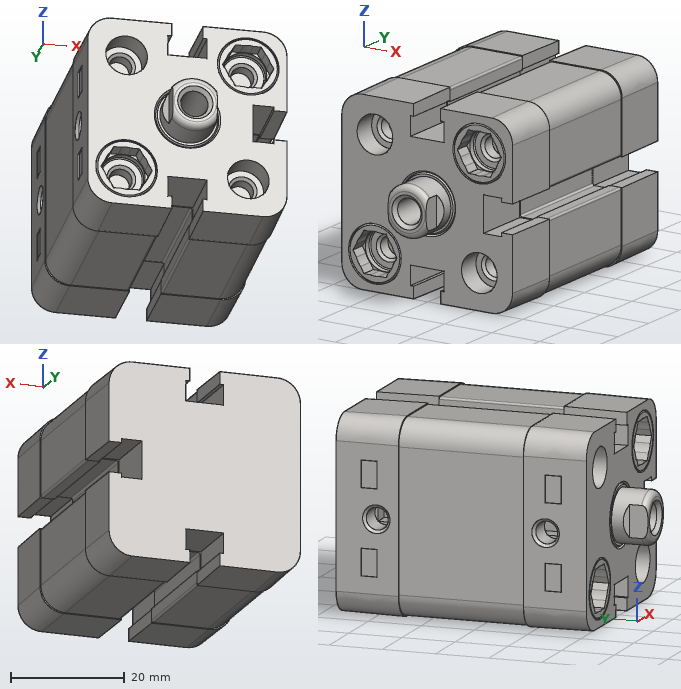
import cadquery as cq
import math


body_length = 47.1
cap_length = 11.8
barrel_length = body_length - 2 * cap_length
rod_projection = 6.5

cap_width = 36.3
cap_end_width = 36.0
barrel_width = 35.94
cap_corner_radius = 4.5
barrel_corner_radius = 4.55
cap_draft = math.degrees(math.atan((cap_width - cap_end_width) / 2 / cap_length))

slot_mouth = 5.66
slot_lip = 2.5
cap_slot_width = 7.1
cap_slot_floor = 11.85
barrel_slot_width = 6.75
barrel_slot_floor = 12.0
barrel_slot_corner_radius = 0.4
barrel_slot_edge_radius = 0.4
slot_overcut = 1.0
slot_angles = (0, 90, 270)

thread_core = 4.13
thread_mouth = 5.2
entry_clearance = 0.2
corner_thread_depth = 3.0

corner_offset = 11.0
plain_hole = 7.5
plain_hole_depth = 4.7
head_diameter = 11.1
head_face_diameter = 10.48
head_groove_depth = 0.45
hex_across_flats = 8.0
hex_depth = 3.05
hex_relief_diameter = 8.2
socket_diameter = 8.0
socket_floor_diameter = 7.55
socket_depth = 4.45

port_from_end = 7.6
port_depth = 5.0
channel_height = 3.1
channel_floor_radius = 10.0
front_channel_length = 7.3
rear_channel_length = 5.7

tag_from_end = 6.25
tag_length = 3.0
tag_height = 5.0
tag_offset = 8.0
tag_depth = 0.2

rod_diameter = 10.0
rod_tip_radius = 1.2
flat_width = 8.0
flat_length = 3.45
flat_runout = 0.85
rod_thread_core = 4.92
rod_thread_mouth = 6.37
rod_thread_depth = 12.0

rod_groove_outer = 12.0
rod_groove_bottom = 11.4
rod_groove_inner = 10.9


def cylinder_y(x, y, z, diameter, depth):
    """Cylinder running from (x, y, z) toward +Y."""
    return cq.Workplane("XZ", origin=(x, y, z)).circle(diameter / 2).extrude(-depth)


def revolve_y(points):
    """Solid of revolution about Y from (radius, y) points."""
    return cq.Workplane("XY").polyline(points).close().revolve(360, (0, 0, 0), (0, 1, 0))


def tapped_hole(core, mouth, depth):
    """Cutter for a countersunk tapped hole that enters at Y = 0 and runs toward +Y.

    The mouth reaches a little outside the entry so that it also clears a drafted face.
    """
    countersink = (mouth - core) / 2
    return revolve_y(
        [
            (0, -entry_clearance),
            (mouth / 2, -entry_clearance),
            (mouth / 2, 0),
            (core / 2, countersink),
            (core / 2, depth),
            (0, depth),
        ]
    )


def block(x, y, size_x, size_y, size_z):
    """Box from (x, y) toward +X and +Y, centred on Z = 0."""
    box = cq.Workplane("XY").box(size_x, size_y, size_z, centered=(False, False, True))
    return box.translate((x, y, 0))


def slot_bar(x_start, x_end, height, y_start, length):
    return block(x_start, y_start, x_end - x_start, length, height)


def slot_cutter(block_width, width, floor, y_start, length, corner_radius=0):
    """Cutter for one T-slot on the +X side."""
    outside = block_width / 2
    wide = slot_bar(floor, outside - slot_lip, width, y_start, length)
    if corner_radius:
        wide = wide.edges("|Y and <X").fillet(corner_radius)
    return wide.union(slot_bar(floor, outside + slot_overcut, slot_mouth, y_start, length))


def cut_slots(body, cutter):
    """Cut the slot on the +X side and its turned copies on the bottom and the top."""
    for angle in slot_angles:
        body = body.cut(cutter.rotate((0, 0, 0), (0, 1, 0), angle))
    return body




def side_face_x(y):
    """X of the drafted -X face of a cap at a given Y, measured from its barrel side."""
    return -cap_width / 2 - y * math.tan(math.radians(cap_draft))


def make_cap(channel_length):
    """Cap with its barrel side at Y = 0 and its drafted outer end at Y = -cap_length."""
    cap = (
        cq.Workplane("XZ")
        .sketch()
        .rect(cap_width, cap_width)
        .vertices()
        .fillet(cap_corner_radius)
        .finalize()
        .extrude(cap_length, taper=cap_draft)
    )
    slot = slot_cutter(cap_width, cap_slot_width, cap_slot_floor, -cap_length, cap_length)
    cap = cut_slots(cap, slot)

    port_y = port_from_end - cap_length
    port_face = side_face_x(port_y)
    port = tapped_hole(thread_core, thread_mouth, port_depth).rotate((0, 0, 0), (0, 0, 1), -90)
    cap = cap.cut(port.translate((port_face, port_y, 0)))

    channel_start = port_face + port_depth
    channel = block(channel_start, -channel_length, -channel_start, channel_length, channel_height)
    channel = channel.cut(cylinder_y(0, -cap_length, 0, 2 * channel_floor_radius, cap_length))
    cap = cap.cut(channel)

    tag_y = tag_from_end - cap_length
    for z in (-tag_offset, tag_offset):
        tag = cq.Workplane("XY").box(2 * tag_depth, tag_length, tag_height)
        cap = cap.cut(tag.translate((side_face_x(tag_y), tag_y, z)))
    return cap


def screw_socket():
    """Cutter for a flush screw head at Y = 0: edge groove, hexagon socket and tapped hole."""
    groove = revolve_y(
        [
            (head_face_diameter / 2, 0),
            (head_diameter / 2, 0),
            (head_diameter / 2, head_groove_depth),
        ]
    )
    hex_across_corners = hex_across_flats / math.cos(math.pi / 6)
    hexagon = cq.Workplane("XZ").polygon(6, hex_across_corners).extrude(-hex_depth)
    relief = cylinder_y(0, 0, 0, hex_relief_diameter, hex_depth)
    bore = cylinder_y(0, 0, 0, socket_diameter, socket_depth)
    bore = bore.faces(">Y").chamfer((socket_diameter - socket_floor_diameter) / 2)
    thread = tapped_hole(thread_core, thread_mouth, corner_thread_depth).translate((0, socket_depth, 0))
    return groove.union(hexagon.union(relief).union(bore).union(thread))


def plain_corner_hole():
    """Cutter for a plain hole at Y = 0 with a tapped hole in its floor."""
    thread = tapped_hole(thread_core, thread_mouth, corner_thread_depth).translate((0, plain_hole_depth, 0))
    return cylinder_y(0, 0, 0, plain_hole, plain_hole_depth).union(thread)


def make_front_cap():
    cap = make_cap(front_channel_length).translate((0, cap_length, 0))
    for side in (-1, 1):
        cap = cap.cut(screw_socket().translate((side * corner_offset, 0, side * corner_offset)))
        cap = cap.cut(plain_corner_hole().translate((side * corner_offset, 0, -side * corner_offset)))
    rod_groove = revolve_y(
        [
            (rod_groove_inner / 2, 0),
            (rod_groove_outer / 2, 0),
            (rod_groove_bottom / 2, (rod_groove_outer - rod_groove_bottom) / 2),
        ]
    )
    return cap.cut(rod_groove).cut(cylinder_y(0, 0, 0, rod_diameter, cap_length))


def make_rear_cap():
    return make_cap(rear_channel_length).mirror("XZ").translate((0, body_length - cap_length, 0))




def make_barrel():
    barrel = (
        cq.Workplane("XZ", origin=(0, cap_length, 0))
        .rect(barrel_width, barrel_width)
        .extrude(-barrel_length)
        .edges("|Y")
        .fillet(barrel_corner_radius)
    )
    slot = slot_cutter(
        barrel_width,
        barrel_slot_width,
        barrel_slot_floor,
        cap_length,
        barrel_length,
        barrel_slot_corner_radius,
    )
    barrel = cut_slots(barrel, slot)
    for angle in slot_angles:
        barrel = round_slot_edges(barrel, angle)
    return barrel


def round_slot_edges(barrel, angle):
    """Round the two outer edges of one slot mouth."""
    reach = barrel_width / 2
    turn = math.radians(angle)
    x, z = reach * math.cos(turn), -reach * math.sin(turn)
    dx, dz = slot_mouth / 2 * math.sin(turn), slot_mouth / 2 * math.cos(turn)
    middle = cap_length + barrel_length / 2
    for sign in (-1, 1):
        barrel = barrel.edges(cq.NearestToPointSelector((x + sign * dx, middle, z + sign * dz))).fillet(
            barrel_slot_edge_radius
        )
    return barrel




def make_rod():
    tip = -rod_projection
    rod = cylinder_y(0, tip, 0, rod_diameter, rod_projection + cap_length)
    rod = rod.faces("<Y").edges().fillet(rod_tip_radius)
    flat_end = tip + flat_length
    for side in (-1, 1):
        flat = (
            cq.Workplane("XY")
            .polyline(
                [
                    (side * flat_width / 2, tip),
                    (side * flat_width / 2, flat_end),
                    (side * rod_diameter / 2, flat_end + flat_runout),
                    (side * rod_diameter / 2, tip),
                ]
            )
            .close()
            .extrude(rod_diameter / 2, both=True)
        )
        rod = rod.cut(flat)
    return rod.cut(tapped_hole(rod_thread_core, rod_thread_mouth, rod_thread_depth).translate((0, tip, 0)))


front_cap = make_front_cap()
barrel = make_barrel()
rear_cap = make_rear_cap()
rod = make_rod()

result = cq.Compound.makeCompound([front_cap.val(), barrel.val(), rear_cap.val(), rod.val()])